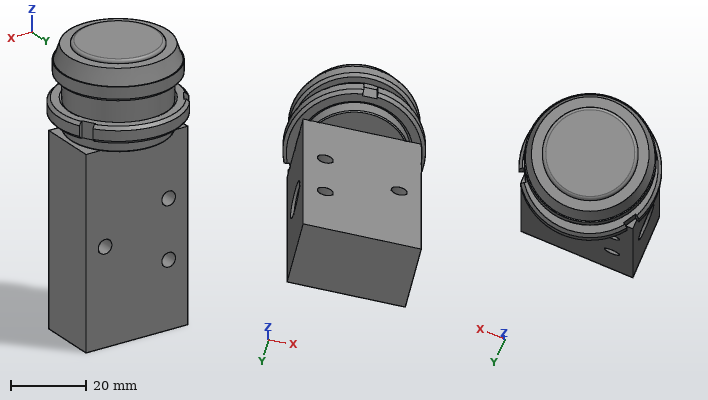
import cadquery as cq

block_width = 32.25
block_depth = 18.1
total_height = 84.0

sleeve_diameter = 30.0
sleeve_height = 15.9
sleeve_bottom_chamfer = 0.3
bezel_diameter = 35.0
bezel_bottom_chamfer = 0.8
bezel_rim_height = 4.4
bezel_ledge = 0.3
bezel_cone_height = 4.6
bezel_top_diameter = 31.2
button_diameter = 25.45
button_height = 1.0
button_fillet = 0.9

head_height = sleeve_height + bezel_rim_height + bezel_cone_height + button_height
block_height = total_height - head_height
bezel_bottom = block_height + sleeve_height
bezel_top = total_height - button_height

nut_diameter = 37.9
nut_height = 4.95
nut_chamfer = 0.9
nut_bore_chamfer = 0.7
nut_bottom = 62.25
slot_count = 3
slot_width = 3.95
slot_floor_distance = 17.4
first_slot_angle = -90.0

mounting_hole_diameter = 4.3
mounting_hole_offset = 10.1
mounting_hole_rise = 9.0
port_height = 29.6
port_diameter = 8.7
port_mouth_diameter = 10.25
port_depth = 11.8


def make_block():
    """Rectangular valve block with three mounting holes and a blind side port."""
    block = cq.Workplane("XY").box(block_width, block_depth, block_height, centered=(True, True, False))
    hole_centres = [
        (-mounting_hole_offset, port_height + mounting_hole_rise),
        (-mounting_hole_offset, port_height - mounting_hole_rise),
        (mounting_hole_offset, port_height),
    ]
    holes = (
        cq.Workplane("XZ")
        .pushPoints(hole_centres)
        .circle(mounting_hole_diameter / 2)
        .extrude(block_depth, both=True)
    )
    return block.cut(holes).cut(make_port())


def make_port():
    """Blind bore along +X with a 45 degree countersunk mouth."""
    bore_radius = port_diameter / 2
    mouth_radius = port_mouth_diameter / 2
    outer_end = -block_width / 2
    inner_end = outer_end + port_depth
    return (
        cq.Workplane("XY")
        .moveTo(outer_end, 0)
        .lineTo(outer_end, mouth_radius)
        .lineTo(outer_end + mouth_radius - bore_radius, bore_radius)
        .lineTo(inner_end, bore_radius)
        .lineTo(inner_end, 0)
        .close()
        .revolve(360, (0, 0, 0), (1, 0, 0))
        .translate((0, 0, port_height))
    )


def make_head():
    """Sleeve, flared bezel and rounded push button, turned about Z."""
    bezel_radius = bezel_diameter / 2
    rim_top = bezel_bottom + bezel_rim_height
    sleeve_and_bezel = (
        cq.Workplane("XZ")
        .moveTo(0, block_height)
        .lineTo(sleeve_diameter / 2 - sleeve_bottom_chamfer, block_height)
        .lineTo(sleeve_diameter / 2, block_height + sleeve_bottom_chamfer)
        .lineTo(sleeve_diameter / 2, bezel_bottom)
        .lineTo(bezel_radius - bezel_bottom_chamfer, bezel_bottom)
        .lineTo(bezel_radius, bezel_bottom + bezel_bottom_chamfer)
        .lineTo(bezel_radius, rim_top)
        .lineTo(bezel_radius - bezel_ledge, rim_top)
        .lineTo(bezel_top_diameter / 2, bezel_top)
        .lineTo(0, bezel_top)
        .close()
        .revolve(360, (0, 0, 0), (0, 1, 0))
    )
    button = (
        cq.Workplane("XY", origin=(0, 0, bezel_top))
        .circle(button_diameter / 2)
        .extrude(button_height)
        .faces(">Z")
        .edges()
        .fillet(button_fillet)
    )
    return sleeve_and_bezel.union(button)


def make_valve():
    """Block and head as one solid."""
    return make_block().union(make_head())


def make_ring_nut():
    """Chamfered ring, bored with countersunk ends to fit the sleeve, with spanner slots in its rim."""
    nut = (
        cq.Workplane("XY", origin=(0, 0, nut_bottom))
        .circle(nut_diameter / 2)
        .extrude(nut_height)
        .edges()
        .chamfer(nut_chamfer)
    )
    bore = cq.Workplane("XY", origin=(0, 0, nut_bottom)).circle(sleeve_diameter / 2).extrude(nut_height)
    nut = nut.cut(bore)
    bore_edges = cq.selectors.RadiusNthSelector(0)
    nut = nut.edges(bore_edges).chamfer(nut_bore_chamfer)

    slot = cq.Workplane("XY").box(nut_diameter, slot_width, nut_height, centered=(False, True, False))
    slot = slot.translate((slot_floor_distance, 0, nut_bottom))
    for index in range(slot_count):
        angle = first_slot_angle + index * 360 / slot_count
        nut = nut.cut(slot.rotate((0, 0, 0), (0, 0, 1), angle))
    return nut


valve = make_valve()
ring_nut = make_ring_nut()

result = cq.Compound.makeCompound([valve.val(), ring_nut.val()])